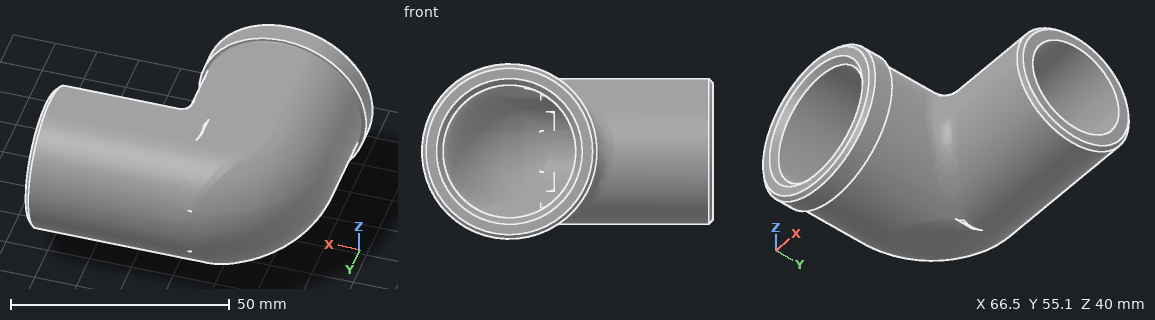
import math

import cadquery as cq


inlet_reach = 38.5
inlet_radius = 38.0 / 2
inlet_bore_radius = 30.29 / 2
countersink_radius = 33.25 / 2
countersink_angle = 45.0

collar_radius = 40.0 / 2
collar_length = 6.0
collar_chamfer = 1.0
collar_root_fillet = 0.5

outlet_reach = 46.5
outlet_radius = 33.25 / 2
outlet_bore_radius = 25.5 / 2
outlet_chamfer = 1.0

bend_outer_radius = 29.2
bend_x = bend_outer_radius - inlet_radius
bend_y = outlet_radius - bend_outer_radius

flat_rounding = 6.0
bore_flat_rounding = 5.0
inner_corner_fillet = 5.0

runout_share = 0.93

outlet_root_share = 0.7
outlet_root_height_share = 0.7

inner_corner_start = 9.0

margin = 2.0
far = inlet_reach + outlet_reach


def cylinder_along_y(radius, y_start, y_end):
    """Solid cylinder about the inlet axis."""
    return cq.Workplane("XZ", origin=(0, y_start, 0)).circle(radius).extrude(y_start - y_end)


def cylinder_along_x(radius, x_start, x_end):
    """Solid cylinder about the outlet axis."""
    return cq.Workplane("YZ", origin=(x_start, 0, 0)).circle(radius).extrude(x_end - x_start)


def block(x_start, x_end, y_start, y_end):
    """Rectangular block, taller than the part, centred on the XY plane."""
    return cq.Workplane("XY").box(x_end - x_start, y_end - y_start, far).translate(
        ((x_start + x_end) / 2, (y_start + y_end) / 2, 0)
    )


def flat_tangent_angle(r_inlet, r_outlet):
    """Angle about the outlet axis, from +Y, where the sloping flat touches the outlet."""
    corner_distance = math.hypot(bend_y, r_inlet)
    corner_angle = math.atan2(r_inlet, bend_y)
    return corner_angle - math.acos(r_outlet / corner_distance)


def flat_touch_y(r_inlet, r_outlet):
    """Y position of the line where the sloping flat touches the outlet."""
    return r_outlet * math.cos(flat_tangent_angle(r_inlet, r_outlet))


def side_envelope(r_inlet, r_outlet):
    """Prism along X: two sloping flats that run tangentially into the outlet surface."""
    angle = flat_tangent_angle(r_inlet, r_outlet)
    touch_y = r_outlet * math.cos(angle)
    touch_z = r_outlet * math.sin(angle)
    mouth_z = touch_z + (touch_y + inlet_reach) / math.tan(angle)
    half_width = r_inlet + inner_corner_fillet + margin
    return (
        cq.Workplane("YZ", origin=(-half_width, 0, 0))
        .moveTo(-inlet_reach, -mouth_z)
        .lineTo(touch_y, -touch_z)
        .threePointArc((r_outlet, 0), (touch_y, touch_z))
        .lineTo(-inlet_reach, mouth_z)
        .close()
        .extrude(2 * half_width)
    )


def sharp_turn(r_inlet, r_outlet):
    """Turn beyond bend_y: round on the outside, inlet cylinder on the inside, cut by the flats."""
    outside = (
        cq.Workplane("XZ", origin=(0, bend_y, 0))
        .moveTo(0, -r_inlet)
        .threePointArc((-r_inlet, 0), (0, r_inlet))
        .lineTo(bend_x, r_inlet)
        .lineTo(bend_x, -r_inlet)
        .close()
        .revolve(90, (bend_x, 1, 0), (bend_x, 0, 0))
    )
    envelope = side_envelope(r_inlet, r_outlet)
    inlet_extension = cylinder_along_y(r_inlet, bend_y - margin, r_outlet + margin)
    beside_inlet = block(0, r_inlet + margin, bend_y - margin, r_outlet + margin).cut(inlet_extension)
    inside = inlet_extension.intersect(block(bend_x, r_inlet + margin, bend_y, r_outlet))
    return outside.intersect(envelope).cut(beside_inlet).union(inside.intersect(envelope))


def is_flat_edge(edge, side):
    """True for the edges where the flats and the outlet meet the turn, on the +Z or -Z side."""
    return edge.geomType() in ("BSPLINE", "ELLIPSE") and side * edge.positionAt(0.5).z > margin


def elbow(r_inlet, r_outlet, rounding):
    """Solid elbow with rounded flats, used for the outside as well as for the bore."""
    runout_y = runout_share * r_outlet
    turn = sharp_turn(r_inlet, r_outlet)
    inlet = cylinder_along_y(r_inlet, -inlet_reach, bend_y)

    rounded = turn.intersect(block(-far, far, -far, runout_y)).union(inlet)
    for side in (1, -1):
        flat_edges = [edge for edge in rounded.edges().vals() if is_flat_edge(edge, side)]
        rounded = rounded.newObject([rounded.val().fillet(rounding, flat_edges)])
    runout = turn.intersect(block(-far, bend_x, runout_y, r_outlet + margin))

    outlet_root = cylinder_along_x(r_outlet, outlet_root_share * bend_x, bend_x).intersect(
        block(0, bend_x, -far, outlet_root_height_share * r_outlet)
    )
    outlet = cylinder_along_x(r_outlet, bend_x, outlet_reach).union(outlet_root)
    return rounded.union(runout, clean=False).union(outlet, clean=False)


def inner_corner():
    """Fillet material in the corner between the inlet and the outlet."""
    crossing = cylinder_along_y(inlet_radius, -inlet_reach, inlet_reach).union(
        cylinder_along_x(outlet_radius, 0, outlet_reach)
    )
    corner_edges = [edge for edge in crossing.edges().vals() if edge.geomType() == "BSPLINE"]
    filleted = crossing.newObject([crossing.val().fillet(inner_corner_fillet, corner_edges)])
    touch_y = flat_touch_y(inlet_radius, outlet_radius)
    corner_end = inlet_radius + inner_corner_fillet + margin
    corner = block(inner_corner_start, corner_end, -inlet_reach + collar_length, touch_y)
    fillet_only = filleted.cut(crossing, clean=False)
    return fillet_only.intersect(corner).intersect(side_envelope(inlet_radius, outlet_radius))


def collar():
    """Chamfered collar at the inlet mouth with a small fillet at its root."""
    mouth_y = -inlet_reach
    back_y = mouth_y + collar_length
    root_y = back_y + collar_root_fillet
    return (
        cq.Workplane("XY")
        .moveTo(0, mouth_y)
        .lineTo(collar_radius - collar_chamfer, mouth_y)
        .lineTo(collar_radius, mouth_y + collar_chamfer)
        .lineTo(collar_radius, back_y)
        .lineTo(inlet_radius + collar_root_fillet, back_y)
        .radiusArc((inlet_radius, root_y), collar_root_fillet)
        .lineTo(0, root_y)
        .close()
        .revolve(360, (0, 0, 0), (0, 1, 0))
    )


def countersink():
    """Cone that opens the bore at the inlet mouth."""
    depth = (countersink_radius - inlet_bore_radius) / math.tan(math.radians(countersink_angle))
    mouth = cq.Workplane("XZ", origin=(0, -inlet_reach, 0)).circle(countersink_radius)
    return mouth.extrude(-depth, taper=countersink_angle)


outside = elbow(inlet_radius, outlet_radius, flat_rounding)
outside = outside.union(inner_corner(), clean=False)
outside = outside.faces(">X").edges().chamfer(outlet_chamfer)
outside = outside.union(collar(), clean=False)

bore = elbow(inlet_bore_radius, outlet_bore_radius, bore_flat_rounding)
result = outside.cut(bore, clean=False).cut(countersink(), clean=False)